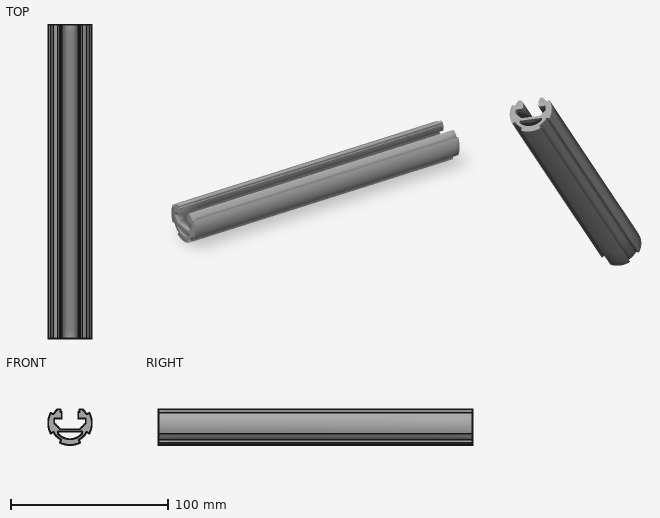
import cadquery as cq
import math

length = 200.0

outer_radius = 14.0
groove_radius = 12.0
flange_half_angle = 28.3
foot_half_angle = 28.0
lip_top = 9.0

slot_half_width = 5.1
mouth_chamfer = 0.5
mouth_step = 0.8
mouth_depth = 1.8
slot_half_cavity = 10.0
slot_ceiling = 3.0
slot_floor = -3.7
slot_floor_half_width = 6.3

web_thickness = 1.7
hollow_half_width = 7.5
hollow_radius = 10.1

DOWN = -90.0


def polar(radius, angle):
    """Point on a circle about the profile axis, angle in degrees from +X."""
    return (radius * math.cos(math.radians(angle)), radius * math.sin(math.radians(angle)))


def extrude_profile(sketch):
    """Extrude a wire drawn in XZ over the whole length, centred on Y = 0."""
    return sketch.close().extrude(length / 2, both=True)


def make_half_body():
    """Right half of the extrusion up to the symmetry plane, without the slot and hollow."""
    lip_angle = math.degrees(math.asin(lip_top / groove_radius))
    foot_angle = DOWN + foot_half_angle
    sketch = (
        cq.Workplane("XZ")
        .moveTo(0, lip_top)
        .lineTo(*polar(groove_radius, lip_angle))
        .threePointArc(
            polar(groove_radius, (lip_angle + flange_half_angle) / 2),
            polar(groove_radius, flange_half_angle),
        )
        .lineTo(*polar(outer_radius, flange_half_angle))
        .threePointArc(polar(outer_radius, 0), polar(outer_radius, -flange_half_angle))
        .lineTo(*polar(groove_radius, -flange_half_angle))
        .threePointArc(
            polar(groove_radius, (foot_angle - flange_half_angle) / 2),
            polar(groove_radius, foot_angle),
        )
        .lineTo(*polar(outer_radius, foot_angle))
        .threePointArc(polar(outer_radius, (foot_angle + DOWN) / 2), polar(outer_radius, DOWN))
    )
    return extrude_profile(sketch)


def make_half_slot():
    """Right half of the T-slot, with a wider, chamfered mouth between the lips."""
    mouth_half_width = slot_half_width + mouth_step
    mouth_bottom = lip_top - mouth_depth
    floor_chamfer = slot_half_cavity - slot_floor_half_width
    sketch = (
        cq.Workplane("XZ")
        .moveTo(0, lip_top)
        .lineTo(mouth_half_width + mouth_chamfer, lip_top)
        .lineTo(mouth_half_width, lip_top - mouth_chamfer)
        .lineTo(mouth_half_width, mouth_bottom)
        .lineTo(slot_half_width, mouth_bottom)
        .lineTo(slot_half_width, slot_ceiling)
        .lineTo(slot_half_cavity, slot_ceiling)
        .lineTo(slot_half_cavity, slot_floor + floor_chamfer)
        .lineTo(slot_floor_half_width, slot_floor)
        .lineTo(0, slot_floor)
    )
    return extrude_profile(sketch)


def make_hollow():
    """Closed hollow: flat top, short upright sides and a round bottom."""
    hollow_top = slot_floor - web_thickness
    side_bottom = -math.sqrt(hollow_radius**2 - hollow_half_width**2)
    sketch = (
        cq.Workplane("XZ")
        .moveTo(-hollow_half_width, hollow_top)
        .lineTo(hollow_half_width, hollow_top)
        .lineTo(hollow_half_width, side_bottom)
        .threePointArc(polar(hollow_radius, DOWN), (-hollow_half_width, side_bottom))
    )
    return extrude_profile(sketch)


half = make_half_body().cut(make_half_slot())
result = half.union(half.mirror("YZ")).clean().cut(make_hollow())